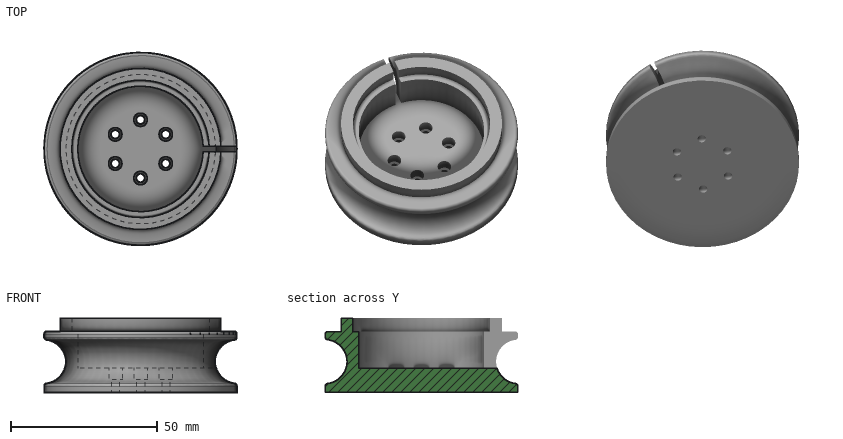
import cadquery as cq

rim_radius = 33.0
lower_rim_height = 3.2
upper_flange_top = 21.0
total_height = 25.5
collar_radius = 27.5
rim_fillet = 1.0

groove_radius = 7.45
groove_height = lower_rim_height + groove_radius

floor_height = 8.5
bore_radius = 21.45
ledge_height = upper_flange_top
ledge_bore_radius = 23.5

screw_count = 6
screw_circle_radius = 9.95
screw_hole_diameter = 2.85
screw_head_diameter = 4.6
screw_head_depth = 3.95
first_screw_angle = 90.0

slot_width = 2.0


def spool_body():
    """Flanged body with a collar on top and a round groove in its side."""
    flanges = cq.Workplane("XY").circle(rim_radius).extrude(upper_flange_top)
    groove = (
        cq.Workplane("XZ")
        .center(rim_radius, groove_height)
        .circle(groove_radius)
        .revolve(360, (-rim_radius, 0), (-rim_radius, 1))
    )
    rim_edges = cq.selectors.BoxSelector(
        (-2 * rim_radius, -2 * rim_radius, lower_rim_height / 2),
        (2 * rim_radius, 2 * rim_radius, total_height),
    )
    rounded = flanges.cut(groove).edges("%CIRCLE").edges(rim_edges).fillet(rim_fillet)
    collar = cq.Workplane("XY").circle(collar_radius).extrude(total_height)
    collar = collar.cut(groove)
    return rounded.union(collar)


def stepped_bore():
    """Main bore down to the floor, with a wider recess at its mouth."""
    bore = (
        cq.Workplane("XY", origin=(0, 0, floor_height))
        .circle(bore_radius)
        .extrude(total_height - floor_height)
    )
    recess = (
        cq.Workplane("XY", origin=(0, 0, ledge_height))
        .circle(ledge_bore_radius)
        .extrude(total_height - ledge_height)
    )
    return bore.union(recess)


def wall_slot():
    """Radial cut from the axis outwards, level with the bore floor."""
    return cq.Workplane("XY", origin=(0, 0, floor_height)).box(
        2 * rim_radius, slot_width, total_height - floor_height, centered=(False, True, False)
    )


def screw_holes():
    """Ring of through holes with head recesses sunk into the floor."""
    ring = cq.Workplane("XY").polarArray(screw_circle_radius, first_screw_angle, 360, screw_count)
    shanks = ring.circle(screw_hole_diameter / 2).extrude(floor_height)
    heads = (
        cq.Workplane("XY", origin=(0, 0, floor_height))
        .polarArray(screw_circle_radius, first_screw_angle, 360, screw_count)
        .circle(screw_head_diameter / 2)
        .extrude(-screw_head_depth)
    )
    return shanks.union(heads)


result = spool_body().cut(stepped_bore()).cut(wall_slot()).cut(screw_holes())